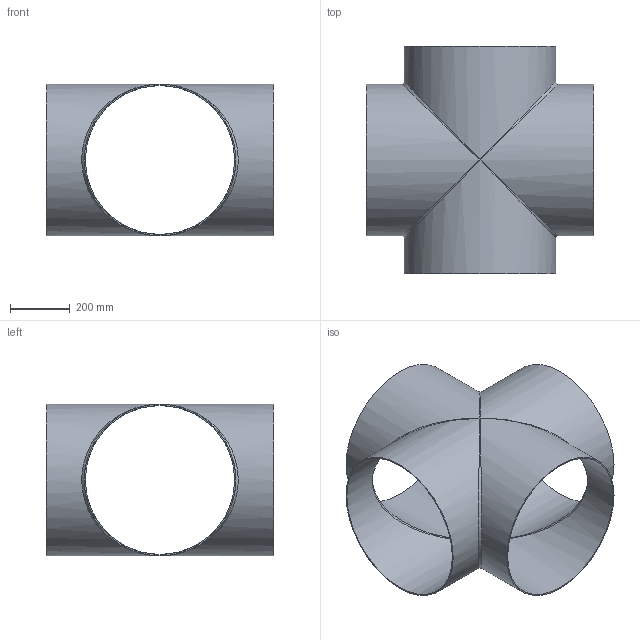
import cadquery as cq
import math

OUTER_DIAMETER = 508.0
WALL_THICKNESS = 4.0
CROSS_LENGTH = 762.0
OUTER_SETBACK = 8.0

BORE_DIAMETER = OUTER_DIAMETER - 2 * WALL_THICKNESS
INNER_SETBACK = OUTER_SETBACK + (2 - math.sqrt(2)) * WALL_THICKNESS

CORNER_ANGLES = (0, 90, 180, 270)


def seam_bevel(radius, setback):
    """Fill for the seam in the +X +Y corner: flat across the seam, fading to nothing at the crests.

    It is a wedge about the Z axis, trimmed by an elliptic cylinder that lies across the seam.
    The ellipse makes the wedge end exactly on the two cylinders along its sides.
    """
    reach = radius + setback
    wedge = (
        cq.Workplane("XY")
        .polyline([(0, 0), (reach, radius), (radius, reach)])
        .close()
        .extrude(radius, both=True)
    )
    trim_start = -radius / math.sqrt(2)
    across_seam = cq.Plane(
        origin=(trim_start, -trim_start, 0),
        xDir=(-1, -1, 0),
        normal=(1, -1, 0),
    )
    bevel_distance = (reach + radius) / math.sqrt(2)
    trim = cq.Workplane(across_seam).ellipse(bevel_distance, radius).extrude(2 * radius)
    return wedge.intersect(trim)


def crossed_cylinders(diameter, setback):
    """Equal cylinders along X and Y, crossing at the origin, with their four seams bevelled."""
    radius = diameter / 2
    along_x = cq.Workplane("YZ").circle(radius).extrude(CROSS_LENGTH / 2, both=True)
    along_y = cq.Workplane("XZ").circle(radius).extrude(CROSS_LENGTH / 2, both=True)
    cross = along_x.union(along_y)
    bevel = seam_bevel(radius, setback)
    for angle in CORNER_ANGLES:
        cross = cross.union(bevel.rotate((0, 0, 0), (0, 0, 1), angle))
    return cross


outside = crossed_cylinders(OUTER_DIAMETER, OUTER_SETBACK)
bore = crossed_cylinders(BORE_DIAMETER, INNER_SETBACK)
result = outside.cut(bore)